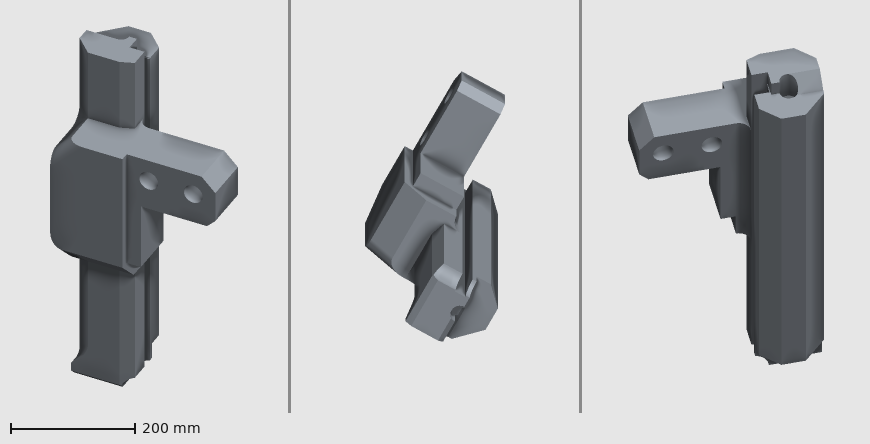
import cadquery as cq
import math

length_x = 290.0
depth_y = 200.0
height_z = 652.0

bar_width = 110.0
bar_front = 75.0
left_chamfer = 30.0
right_face_width = 23.5
right_face_angle = 20.0
bottom_chamfer = 10.5
back_left_chamfer = 40.0
back_right_chamfer = 30.0

step_plane = 144.0
back_bottom = 55.5
back_top = 626.5

pin_x = 55.0
pin_radius = 15.0
pin_depth = 50.0
top_edge_leg = pin_radius
top_fill_leg = height_z - top_edge_leg - back_top
bottom_edge_leg = 9.0
bottom_fill_leg = 10.0

slot_depth = 25.5
slot_front = 118.0
slot_back = 137.0
slot_relief = 1.0

scoop_radius = 30.0
scoop_x = 117.5
scoop_z = -2.5

block_width = 130.5
block_bottom = 266.0
block_top = 521.5
block_chamfer = 40.0
round_radius = 20.0

arm_front = 15.0
arm_back = 95.0
arm_height = 95.0
arm_top_chamfer = 25.0
arm_bottom_chamfer = 15.0
web_right = 156.0
hole_diameter = 34.0
hole_pitch = 80.0
hole_edge_offset = 40.0

relief_end = 26.0


def box(x0, x1, y0, y1, z0, z1):
    """Box between two opposite corners."""
    return cq.Workplane("XY").box(x1 - x0, y1 - y0, z1 - z0, centered=False).translate((x0, y0, z0))


def prism_along_x(points, x0, x1):
    """Extrude a (y, z) outline from x0 to x1."""
    return cq.Workplane("YZ").workplane(offset=x0).polyline(points).close().extrude(x1 - x0)


def prism_along_y(points, y0, y1):
    """Extrude an (x, z) outline from y0 to y1."""
    return cq.Workplane("XZ").workplane(offset=-y1).polyline(points).close().extrude(y1 - y0)


def prism_along_z(points, z0, z1):
    """Extrude an (x, y) outline from z0 to z1."""
    return cq.Workplane("XY").workplane(offset=z0).polyline(points).close().extrude(z1 - z0)


def make_bar():
    right_face_rise = right_face_width * math.tan(math.radians(right_face_angle))
    front_part = prism_along_z(
        [
            (0, bar_front),
            (bar_width - right_face_width, bar_front),
            (bar_width, bar_front + right_face_rise),
            (bar_width, step_plane),
            (0, step_plane),
        ],
        0,
        height_z,
    )
    back_part = prism_along_z(
        [
            (0, step_plane),
            (bar_width, step_plane),
            (bar_width, depth_y - back_right_chamfer),
            (bar_width - back_right_chamfer, depth_y),
            (back_left_chamfer, depth_y),
            (0, depth_y - back_left_chamfer),
        ],
        back_bottom,
        back_top,
    )
    bottom_bevel = prism_along_x(
        [(bar_front, 0), (bar_front + bottom_chamfer, 0), (bar_front, bottom_chamfer)], 0, bar_width
    )
    scoop = (
        cq.Workplane("XZ", origin=(scoop_x, 0, scoop_z)).circle(scoop_radius).extrude(-step_plane)
    )
    return front_part.union(back_part).cut(bottom_bevel).cut(scoop)


def shape_bar_end(bar, end_z, step_z, edge_leg, fill_leg, inward):
    """Bevel the end edge and fill the step left of the pin hole, then drill it; inward is +1 or -1 in Z."""
    step_fill = prism_along_x(
        [
            (step_plane, step_z),
            (step_plane + fill_leg, step_z),
            (step_plane, step_z - inward * fill_leg),
        ],
        0,
        pin_x,
    )
    edge_cut = prism_along_x(
        [
            (step_plane, end_z),
            (step_plane - edge_leg, end_z),
            (step_plane, end_z + inward * edge_leg),
        ],
        0,
        pin_x,
    )
    pin_hole = (
        cq.Workplane("XY", origin=(pin_x, step_plane, end_z)).circle(pin_radius).extrude(inward * pin_depth)
    )
    return bar.union(step_fill).cut(edge_cut).cut(pin_hole)


def cut_slot(bar):
    slot_left = bar_width - slot_depth
    slot = box(slot_left, bar_width, slot_front, slot_back, 0, height_z)
    mouth_left = slot_left - slot_relief
    mouth_back = slot_back + slot_relief
    mouth = box(mouth_left, bar_width, slot_front, mouth_back, back_top - slot_relief, height_z)
    above_step = box(mouth_left, bar_width, slot_front, step_plane, back_top, height_z)
    return bar.cut(slot).cut(mouth).cut(above_step)


def make_block():
    block = prism_along_x(
        [
            (0, block_bottom + block_chamfer),
            (block_chamfer, block_bottom),
            (arm_back, block_bottom),
            (arm_back, block_top),
            (0, block_top),
        ],
        0,
        block_width,
    )
    block = block.faces("<X").edges(">Z").chamfer(left_chamfer)
    half_left = left_chamfer / 2
    half_bottom = block_chamfer / 2
    upper_edge = cq.selectors.NearestToPointSelector((half_left, 0, block_top - half_left))
    lower_edge = cq.selectors.NearestToPointSelector((0, half_bottom, block_bottom + half_bottom))
    block = block.edges(upper_edge).fillet(round_radius)
    return block.edges(lower_edge).fillet(round_radius)


def make_corner_fillet():
    """Concave round between the right side of the bar and the back of the block."""
    return (
        cq.Workplane("XY", origin=(0, 0, block_bottom))
        .moveTo(bar_width, arm_back)
        .lineTo(bar_width + round_radius, arm_back)
        .radiusArc((bar_width, arm_back + round_radius), round_radius)
        .close()
        .extrude(block_top - block_bottom)
    )


def make_arm():
    arm_bottom = block_top - arm_height
    arm = prism_along_y(
        [
            (block_width, block_bottom + block_chamfer),
            (web_right, block_bottom + block_chamfer),
            (web_right, arm_bottom),
            (length_x - arm_bottom_chamfer, arm_bottom),
            (length_x, arm_bottom + arm_bottom_chamfer),
            (length_x, block_top - arm_top_chamfer),
            (length_x - arm_top_chamfer, block_top),
            (block_width, block_top),
        ],
        arm_front,
        arm_back,
    )
    outer_hole_x = length_x - hole_edge_offset
    hole_z = block_top - hole_edge_offset
    for hole_x in (outer_hole_x, outer_hole_x - hole_pitch):
        hole = (
            cq.Workplane("XZ", origin=(hole_x, 0, hole_z)).circle(hole_diameter / 2).extrude(-arm_back)
        )
        arm = arm.cut(hole)
    return arm


def left_edge_triangle():
    """Section of the bevel on the left front edge of the bar."""
    return [(0, bar_front), (left_chamfer, bar_front), (0, bar_front + left_chamfer)]


def make_upper_bevel():
    """Bevel above the block, turned by a cone into the bevel on the block's top edge."""
    straight = prism_along_z(left_edge_triangle(), block_top, height_z)
    cone = cq.Workplane(
        cq.Solid.makeCone(
            left_chamfer, 0, left_chamfer, cq.Vector(0, bar_front, block_top), cq.Vector(1, 0, 0)
        )
    )
    return straight.union(cone)


def make_lower_relief():
    """Bevel below the block: rounded under the block, ending on a rounded 45 degree wall."""
    outer = left_chamfer * 2
    wall_x = left_chamfer + outer
    wedge = prism_along_z(
        [
            (-outer, bar_front - outer),
            (wall_x, bar_front - outer),
            (-outer, bar_front + wall_x),
        ],
        relief_end - outer,
        block_bottom,
    )
    below_wall = prism_along_y(
        [(-outer, relief_end - outer), (wall_x, relief_end - outer), (wall_x, relief_end + wall_x)],
        bar_front - outer,
        bar_front + wall_x,
    )
    relief = wedge.cut(below_wall)
    middle_x = left_chamfer / 2
    middle_y = bar_front + left_chamfer / 2
    for edge_z in (block_bottom, relief_end + middle_x):
        edge = cq.selectors.NearestToPointSelector((middle_x, middle_y, edge_z))
        relief = relief.edges(edge).fillet(round_radius)
    relief_limits = box(-outer, wall_x, bar_front, depth_y, 0, block_bottom)
    return relief.intersect(relief_limits)


bar = make_bar()
bar = shape_bar_end(bar, height_z, back_top, top_edge_leg, top_fill_leg, -1)
bar = shape_bar_end(bar, 0, back_bottom, bottom_edge_leg, bottom_fill_leg, 1)
bar = cut_slot(bar)

result = bar.union(make_block()).union(make_corner_fillet()).union(make_arm())
result = result.cut(make_upper_bevel()).cut(make_lower_relief())